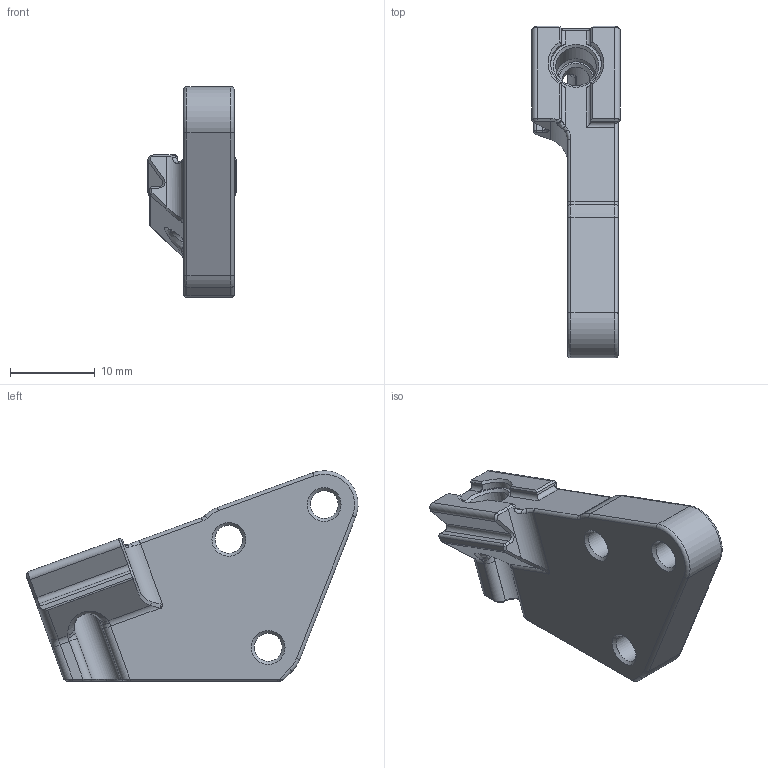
import cadquery as cq
import math

TILT = 20.0

PLATE_WIDTH = 6.0
PLATE_END = 36.0
CORNER_RADIUS = 4.0
HOLE_PITCH = 12.0
LOW_HOLE_DROP = 13.6
PIN_HOLE_DIAMETER = 3.3
PIN_HOLE_CHAMFER = 0.35
EDGE_FILLET = 0.4
BASE_CHAMFER = 0.25
STEP_FILLET = 1.0
FLOOR = 3.5

BLOCK_CENTER_X = 1.0
BLOCK_HALF_WIDTH = 5.205
BLOCK_START = 24.0
BLOCK_TOP = 4.5
CREST_RADIUS = 0.6
GROOVE_WALL_ANGLE = 55.4
GROOVE_FLOOR = 0.5
GROOVE_RADIUS = 0.5
LIP_X = -4.0
LIP_RADIUS = 0.3
SLANT_FOOT = -4.46
SLANT_FILLET = 1.0
WEB_RADIUS = 2.0
BLOCK_CHAMFER = 0.25
END_CHAMFER = 0.3

SLOT_WIDTH = 3.5
SLOT_WALLS = [BLOCK_CENTER_X - SLOT_WIDTH / 2, BLOCK_CENTER_X + SLOT_WIDTH / 2]
SLOT_FILLET = 0.5
JAW_CHAMFER = 0.2

BORE_P = 31.25
CLEARANCE_DIAMETER = 6.0
COUNTERBORE_DIAMETER = 4.8
COUNTERBORE_DEPTH = 4.5
SCREW_DIAMETER = 3.25
BORE_CHAMFER = 0.3
SEAT_RING_DEPTH = 0.4
SEAT_RING_WIDTH = 0.25
SEAT_CHAMFER = 0.35
CHANNEL_CROWN_CENTER = -4.1
MOUTH_FILLET = 0.99

NEAR = 0.02
FAR = 60.0

COS_TILT = math.cos(math.radians(TILT))
SIN_TILT = math.sin(math.radians(TILT))

LOW_HOLE = (HOLE_PITCH, -LOW_HOLE_DROP)
PIN_HOLES = [(0.0, 0.0), (HOLE_PITCH, 0.0), LOW_HOLE]
LOW_HOLE_Y = LOW_HOLE[0] * COS_TILT + LOW_HOLE[1] * SIN_TILT
LOW_HOLE_Z = -LOW_HOLE[0] * SIN_TILT + LOW_HOLE[1] * COS_TILT
BASE_Z = LOW_HOLE_Z - CORNER_RADIUS

WALL_TAN = math.tan(math.radians(GROOVE_WALL_ANGLE))
CREST_OVERSHOOT = CREST_RADIUS * (1 / math.tan(math.radians(GROOVE_WALL_ANGLE / 2)) - 1)
CREST_REACH = BLOCK_HALF_WIDTH + CREST_OVERSHOOT
GROOVE_REACH = CREST_REACH - (BLOCK_TOP - GROOVE_FLOOR) / WALL_TAN
LIP_FOOT = SLANT_FOOT - LIP_X
WEB_END = BLOCK_START - WEB_RADIUS


def level_point(y, z):
    """Turn a point given in level Y, Z into the tilted p, n frame."""
    return (y * COS_TILT - z * SIN_TILT, y * SIN_TILT + z * COS_TILT)


def around(center, radius, angle):
    """Point on a circle, with the angle in degrees from the p axis."""
    a = math.radians(angle)
    return (center[0] + radius * math.cos(a), center[1] + radius * math.sin(a))


def across(x):
    """Workplane with local axes p, n, standing at the given x."""
    return cq.Workplane("YZ", origin=(x, 0, 0))


def pick(body, test):
    """Edges of the body whose centre and bounding box satisfy the test."""
    chosen = [e for e in body.edges().vals() if test(e.Center(), e.BoundingBox())]
    return body.newObject(chosen)


def plate():
    """Plate outline: rounded corners about two pin holes, a step, and a level base."""
    side_angle = math.degrees(math.atan2(LOW_HOLE[1], LOW_HOLE[0])) - 90.0
    base_angle = 225.0 + TILT
    step_p = HOLE_PITCH + math.sqrt(CORNER_RADIUS**2 - FLOOR**2)
    step_angle = math.degrees(math.asin(FLOOR / CORNER_RADIUS))
    step_mid = (90.0 + step_angle) / 2
    base_near_y = LOW_HOLE_Y - CORNER_RADIUS * math.tan(math.radians(22.5))
    base_far_y = (PLATE_END + BASE_Z * SIN_TILT) / COS_TILT
    top_mid_angle = (90.0 + side_angle + 360.0) / 2
    low_mid_angle = (side_angle + 360.0 + base_angle) / 2
    body = (
        across(0)
        .moveTo(0, CORNER_RADIUS)
        .threePointArc(
            around((0, 0), CORNER_RADIUS, top_mid_angle),
            around((0, 0), CORNER_RADIUS, side_angle),
        )
        .lineTo(*around(LOW_HOLE, CORNER_RADIUS, side_angle))
        .threePointArc(
            around(LOW_HOLE, CORNER_RADIUS, low_mid_angle),
            around(LOW_HOLE, CORNER_RADIUS, base_angle),
        )
        .lineTo(*level_point(base_near_y, BASE_Z))
        .lineTo(*level_point(base_far_y, BASE_Z))
        .lineTo(PLATE_END, FLOOR)
        .lineTo(step_p, FLOOR)
        .threePointArc(
            around((HOLE_PITCH, 0), CORNER_RADIUS, step_mid),
            (HOLE_PITCH, CORNER_RADIUS),
        )
        .close()
        .extrude(PLATE_WIDTH)
    )
    step = pick(body, lambda c, b: abs(c.y - step_p) < NEAR and b.xlen > 1)
    return step.fillet(STEP_FILLET)


def rail_profile(points, start_p):
    """Extrude an x, n outline along p from start_p to the end of the plate."""
    return (
        cq.Workplane("XZ", origin=(0, PLATE_END, 0))
        .polyline(points)
        .close()
        .extrude(PLATE_END - start_p)
    )


def round_at(body, x, n, radius):
    """Fillet the edges along p that pass through the given x, n."""
    edges = pick(body, lambda c, b: b.ylen > 1 and math.hypot(c.x - x, c.z - n) < NEAR)
    return edges.fillet(radius)


def grooved_block():
    """Side rail: crest, V groove, lip, and a 45 degree slant down to the plate."""
    inside_x = BLOCK_CENTER_X
    inside_n = SLANT_FOOT - 2 * SLANT_FILLET
    crest_x = BLOCK_CENTER_X - CREST_REACH
    groove_x = BLOCK_CENTER_X - GROOVE_REACH
    body = rail_profile(
        [
            (inside_x, BLOCK_TOP),
            (crest_x, BLOCK_TOP),
            (groove_x, GROOVE_FLOOR),
            (LIP_X, GROOVE_FLOOR),
            (LIP_X, LIP_FOOT),
            (0, SLANT_FOOT),
            (0, inside_n),
            (inside_x, inside_n),
        ],
        WEB_END,
    )
    body = round_at(body, crest_x, BLOCK_TOP, CREST_RADIUS)
    body = round_at(body, groove_x, GROOVE_FLOOR, GROOVE_RADIUS)
    body = round_at(body, LIP_X, GROOVE_FLOOR, LIP_RADIUS)

    def rail_end(c, b):
        on_end = b.ylen < NEAR and abs(c.y - PLATE_END) < NEAR
        return on_end and c.x < 0 and c.z > LIP_FOOT

    body = pick(body, rail_end).chamfer(END_CHAMFER)
    body = round_at(body, LIP_X, LIP_FOOT, LIP_RADIUS)
    body = round_at(body, 0, SLANT_FOOT, SLANT_FILLET)
    web_relief = (
        cq.Workplane("XY", origin=(0, 0, -FAR / 2))
        .center(-WEB_RADIUS, WEB_END)
        .circle(WEB_RADIUS)
        .extrude(FAR)
    )
    side_relief = cq.Workplane("XY").box(FAR, WEB_RADIUS, FAR, centered=(False, False, True))
    side_relief = side_relief.translate((-WEB_RADIUS - FAR, WEB_END, 0))
    return body.cut(web_relief).cut(side_relief)


def far_jaw():
    """Mirror image of the crest on the other side, bevelled at both ends."""
    crest_x = BLOCK_CENTER_X + CREST_REACH
    body = rail_profile(
        [
            (BLOCK_CENTER_X, BLOCK_TOP),
            (crest_x, BLOCK_TOP),
            (BLOCK_CENTER_X + GROOVE_REACH, GROOVE_FLOOR),
            (BLOCK_CENTER_X, GROOVE_FLOOR),
        ],
        BLOCK_START,
    )
    body = round_at(body, crest_x, BLOCK_TOP, CREST_RADIUS)

    def on_crest(c, b):
        return b.ylen < NEAR and c.x > BLOCK_CENTER_X + NEAR and c.z > GROOVE_FLOOR + NEAR

    body = pick(body, lambda c, b: on_crest(c, b) and c.y > PLATE_END - NEAR).chamfer(END_CHAMFER)
    return pick(body, lambda c, b: on_crest(c, b) and c.y < BLOCK_START + NEAR).chamfer(BLOCK_CHAMFER)


def shoulder_fill():
    """Material in front of the far jaw, from which its rounded foot is left standing."""
    width = PLATE_WIDTH - EDGE_FILLET - BLOCK_CENTER_X
    body = cq.Workplane("XY").box(width, WEB_RADIUS, FLOOR + SLOT_FILLET, centered=False)
    return body.translate((BLOCK_CENTER_X, WEB_END, 0))


def slot_cutter():
    """Space above the floor between the jaws and in front of the far jaw, with rounded feet."""
    slot_length = FAR - WEB_END
    slot = cq.Workplane("XY").box(SLOT_WIDTH, slot_length, FAR, centered=(True, False, False))
    slot = slot.translate((BLOCK_CENTER_X, WEB_END, FLOOR))
    shoulder = cq.Workplane("XY").box(FAR, WEB_RADIUS, FAR, centered=False)
    shoulder = shoulder.translate((BLOCK_CENTER_X, WEB_END, FLOOR))
    body = slot.union(shoulder)

    def foot(c, b):
        on_wall = b.xlen < NEAR and min(abs(c.x - x) for x in SLOT_WALLS) < NEAR
        on_shoulder = b.ylen < NEAR and abs(c.y - BLOCK_START) < NEAR
        return abs(c.z - FLOOR) < NEAR and (on_wall or on_shoulder)

    return pick(body, foot).fillet(SLOT_FILLET)


def rounded_end_envelope():
    """Space inside the end of the plate and of the slant, with the end edge rounded."""
    body = rail_profile(
        [
            (FAR, FAR),
            (-FAR, FAR),
            (-FAR, SLANT_FOOT + FAR),
            (0, SLANT_FOOT),
            (0, -FAR),
            (FAR, -FAR),
        ],
        -FAR,
    )
    body = round_at(body, 0, SLANT_FOOT, SLANT_FILLET)

    def end_edge(c, b):
        on_end = b.ylen < NEAR and abs(c.y - PLATE_END) < NEAR
        return on_end and abs(c.x) < NEAR and b.xlen < NEAR

    return pick(body, end_edge).fillet(SLANT_FILLET)


def round_outline(body, face_x):
    """Round the plate outline on one face, from the block round to the base."""

    def outline(c, b):
        on_face = b.xlen < NEAR and abs(c.x - face_x) < NEAR
        return on_face and c.y < WEB_END and c.z > SLANT_FOOT

    return pick(body, outline).fillet(EDGE_FILLET)


def bevel_rail_front(body):
    """Bevel the front edges of the grooved rail."""

    def front(c, b):
        on_front = b.ylen < NEAR and abs(c.y - BLOCK_START) < NEAR
        return on_front and c.x < -WEB_RADIUS

    return pick(body, front).chamfer(BLOCK_CHAMFER)


def bevel_slot(body):
    """Bevel the top edges of the slot walls and the end of the slot floor."""

    def wall_top(c, b):
        on_wall = b.xlen < NEAR and min(abs(c.x - x) for x in SLOT_WALLS) < NEAR
        return on_wall and abs(c.z - BLOCK_TOP) < NEAR

    def floor_end(c, b):
        on_end = b.ylen < NEAR and abs(c.y - PLATE_END) < NEAR
        in_slot = SLOT_WALLS[0] + NEAR < c.x < SLOT_WALLS[1] - NEAR
        return on_end and in_slot and FLOOR - NEAR < c.z < FLOOR + SLOT_FILLET

    body = pick(body, wall_top).chamfer(JAW_CHAMFER)
    return pick(body, floor_end).chamfer(END_CHAMFER)


def bore_section(top_n, diameter, depth):
    """Cylinder down from the given height on the bore axis."""
    return (
        cq.Workplane("XY", origin=(BLOCK_CENTER_X, BORE_P, top_n))
        .circle(diameter / 2)
        .extrude(-depth)
    )


def bore_cone(top_n, diameter, depth):
    """45 degree countersink that narrows from the given height to the given diameter."""
    return (
        cq.Workplane("XY", origin=(BLOCK_CENTER_X, BORE_P, top_n))
        .circle(diameter / 2 + depth)
        .extrude(-depth, taper=45)
    )


def seat_ring(seat_n):
    """Steep cone between the counterbore wall and the seat."""
    return (
        cq.Workplane("XY", origin=(BLOCK_CENTER_X, BORE_P, seat_n))
        .circle(COUNTERBORE_DIAMETER / 2 - SEAT_RING_WIDTH)
        .workplane(offset=SEAT_RING_DEPTH)
        .circle(COUNTERBORE_DIAMETER / 2)
        .loft()
    )


def cut_bore(body):
    """Stepped screw bore, from the clearance between the jaws down to the channel."""
    seat_n = FLOOR - COUNTERBORE_DEPTH
    body = body.cut(bore_section(BLOCK_TOP, CLEARANCE_DIAMETER, BLOCK_TOP - FLOOR))
    body = body.cut(bore_cone(BLOCK_TOP, CLEARANCE_DIAMETER, BORE_CHAMFER))
    body = body.cut(bore_section(FLOOR, COUNTERBORE_DIAMETER, COUNTERBORE_DEPTH - SEAT_RING_DEPTH))
    body = body.cut(seat_ring(seat_n))
    body = body.cut(bore_cone(FLOOR, COUNTERBORE_DIAMETER, BORE_CHAMFER))
    body = body.cut(bore_cone(seat_n, SCREW_DIAMETER, SEAT_CHAMFER))
    return body.cut(bore_section(seat_n, SCREW_DIAMETER, FAR))


def cut_channel(body):
    """Arched channel from the screw bore out through the near face, with rounded mouth."""
    radius = SCREW_DIAMETER / 2
    arch = across(BLOCK_CENTER_X).center(BORE_P, CHANNEL_CROWN_CENTER).circle(radius).extrude(-FAR)
    walls = across(BLOCK_CENTER_X).center(BORE_P, CHANNEL_CROWN_CENTER - FAR / 2)
    walls = walls.rect(SCREW_DIAMETER, FAR).extrude(-FAR)
    body = body.cut(arch.union(walls))

    def mouth(c, b):
        in_channel = abs(c.y - BORE_P) < radius + NEAR and b.ymin > BORE_P - radius - NEAR
        return in_channel and abs(c.x) < NEAR and b.xlen < NEAR and b.zlen > 1

    return pick(body, mouth).fillet(MOUTH_FILLET)


def cut_pin_holes(body):
    """Three through holes, countersunk on the near face."""
    for p, n in PIN_HOLES:
        hole = across(0).center(p, n).circle(PIN_HOLE_DIAMETER / 2).extrude(PLATE_WIDTH)
        mouth = across(0).center(p, n).circle(PIN_HOLE_DIAMETER / 2 + PIN_HOLE_CHAMFER)
        body = body.cut(hole).cut(mouth.extrude(PIN_HOLE_CHAMFER, taper=45))
    return body


def bevel_base(body):
    """Bevel the rim of the level base at the channel; the bevel runs on along smooth edges."""
    down = cq.Vector(0, SIN_TILT, -COS_TILT)
    base = body.faces(cq.selectors.DirectionMinMaxSelector(down, True)).edges()
    radius = SCREW_DIAMETER / 2
    channel_p = level_point((BORE_P + BASE_Z * SIN_TILT) / COS_TILT, BASE_Z)[0]
    inner_x = BLOCK_CENTER_X + radius / 2

    def channel_arc(c):
        return inner_x - radius / 2 < c.x < BLOCK_CENTER_X + radius and abs(c.y - channel_p) < radius

    chosen = [e for e in base.vals() if channel_arc(e.Center())]
    return body.newObject(chosen).chamfer(BASE_CHAMFER)


body = round_outline(plate(), PLATE_WIDTH)
body = body.union(grooved_block()).union(far_jaw()).union(shoulder_fill())
body = body.intersect(rounded_end_envelope())
body = round_outline(body.cut(slot_cutter()), 0)
body = bevel_slot(bevel_rail_front(body))
body = cut_bore(cut_channel(body))
body = bevel_base(cut_pin_holes(body))
result = body.rotate((0, 0, 0), (1, 0, 0), -TILT)